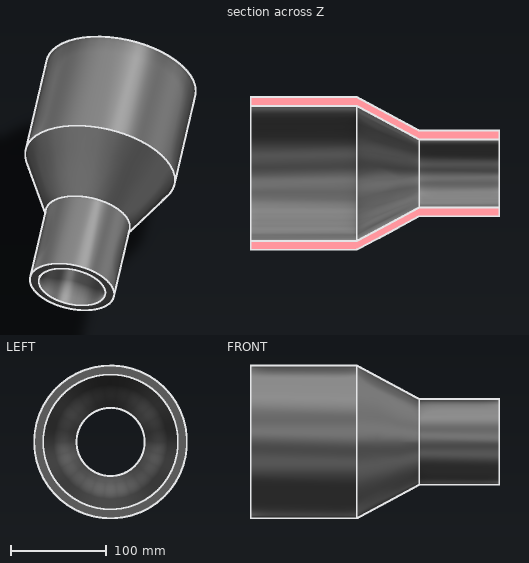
import cadquery as cq

total_length = 260.0
large_length = 111.0
small_length = 84.0
cone_end = total_length - small_length

large_outer_diameter = 160.0
large_bore_diameter = 141.0
small_outer_diameter = 90.0
small_bore_diameter = 71.0


def stepped_cone(large_diameter, small_diameter):
    """Solid of revolution: large cylinder, cone, then small cylinder."""
    large_radius = large_diameter / 2
    small_radius = small_diameter / 2
    return (
        cq.Workplane("XY")
        .moveTo(0, 0)
        .lineTo(0, large_radius)
        .lineTo(large_length, large_radius)
        .lineTo(cone_end, small_radius)
        .lineTo(total_length, small_radius)
        .lineTo(total_length, 0)
        .close()
        .revolve(360, (0, 0, 0), (1, 0, 0))
    )


body = stepped_cone(large_outer_diameter, small_outer_diameter)
bore = stepped_cone(large_bore_diameter, small_bore_diameter)
result = body.cut(bore)